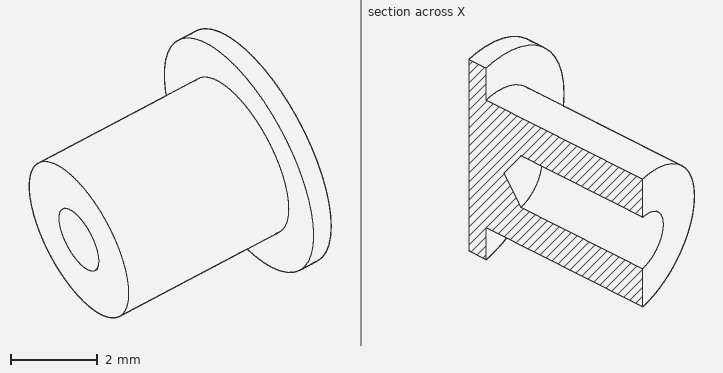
import cadquery as cq
import math

flange_diameter = 6.0
body_diameter = 4.0
hole_diameter = 1.6
total_length = 5.0
flange_thickness = 0.5
hole_depth = 3.5
drill_point_angle = 118.0

body_length = total_length - flange_thickness
hole_radius = hole_diameter / 2
tip_length = hole_radius / math.tan(math.radians(drill_point_angle / 2))


def bushing():
    """Body with its free end at Y = 0 and the flange at the +Y end."""
    body = cq.Workplane("XZ").circle(body_diameter / 2).extrude(-total_length)
    flange = (
        cq.Workplane("XZ", origin=(0, body_length, 0))
        .circle(flange_diameter / 2)
        .extrude(-flange_thickness)
    )
    return body.union(flange)


def drilled_hole():
    """Blind hole with a conical bottom, revolved about the Y axis."""
    return (
        cq.Workplane("XY")
        .moveTo(0, 0)
        .lineTo(hole_radius, 0)
        .lineTo(hole_radius, hole_depth)
        .lineTo(0, hole_depth + tip_length)
        .close()
        .revolve(360, (0, 0, 0), (0, 1, 0))
    )


result = bushing().cut(drilled_hole())